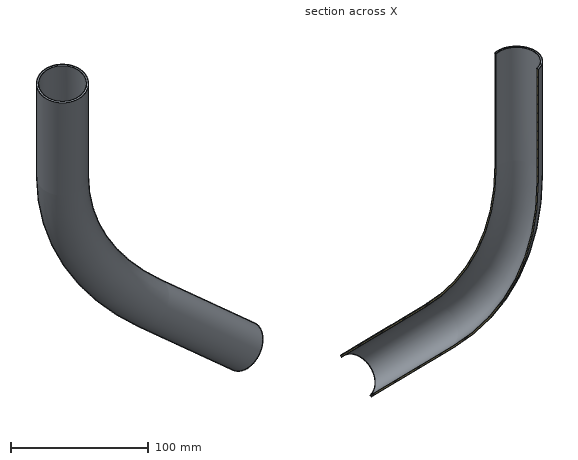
import cadquery as cq
import math

overall_height = 348.5
outer_diameter = 38.0
inner_diameter = 35.0
bend_radius = 228.5
bend_angle = 45.0

outer_radius = outer_diameter / 2
bend_sin = math.sin(math.radians(bend_angle))
bend_cos = math.cos(math.radians(bend_angle))

leg_length = (overall_height - (bend_radius + outer_radius) * bend_sin) / (1 + bend_cos)


def bend_point(angle):
    """Centreline point (Y, Z) of the bend, at an angle in degrees from its upper end."""
    turn = math.radians(angle)
    return (bend_radius * (1 - math.cos(turn)), -bend_radius * math.sin(turn))


bend_end_y, bend_end_z = bend_point(bend_angle)
foot = (bend_end_y + leg_length * bend_sin, bend_end_z - leg_length * bend_cos)
centreline = (
    cq.Workplane("YZ")
    .moveTo(0, leg_length)
    .lineTo(0, 0)
    .threePointArc(bend_point(bend_angle / 2), (bend_end_y, bend_end_z))
    .lineTo(*foot)
)

result = (
    cq.Workplane("XY")
    .workplane(offset=leg_length)
    .circle(outer_radius)
    .circle(inner_diameter / 2)
    .sweep(centreline)
)